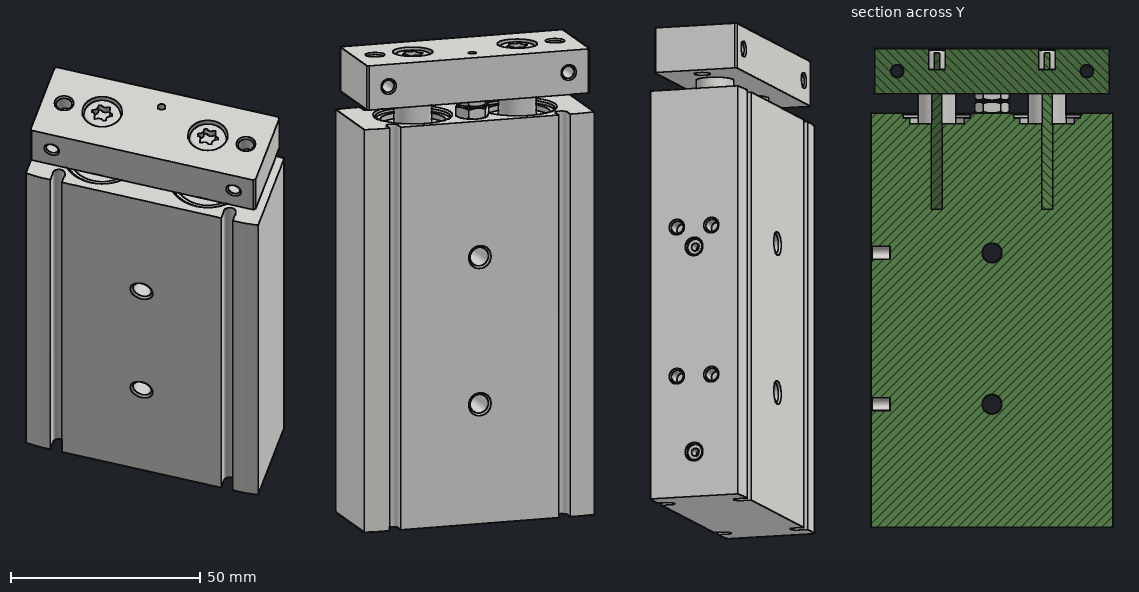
import cadquery as cq
import math

TOTAL_HEIGHT = 126.5
PLATE_THICKNESS = 12.0
PLATE_GAP = 5.0
HOUSING_HEIGHT = TOTAL_HEIGHT - PLATE_THICKNESS - PLATE_GAP
PLATE_BOTTOM = HOUSING_HEIGHT + PLATE_GAP

HOUSING_WIDTH = 64.0
HOUSING_DEPTH = 25.0
EDGE_BAND_WIDTH = 3.8
EDGE_BAND_DROP = 0.4

SLOT_X = 23.5
SLOT_OPENING = 3.2
SLOT_BORE = 3.3
SLOT_BORE_INSET = 2.5

MOUNT_LEVELS = (32.5, 72.5)
MOUNT_BORE = 5.0
MOUNT_MOUTH = 6.2

SIDE_HOLE_BORE = 3.3
SIDE_HOLE_MOUTH = 4.2
SIDE_HOLE_Y = 4.8
SIDE_HOLE_DEPTH = 5.0

PORT_LEVELS = (12.0, 67.0)
PORT_MOUTH = 4.9
PORT_BORE = 4.2
PORT_DEPTH = 1.0
PORT_PASSAGE = 2.0
PORT_PASSAGE_DEPTH = 5.0

ROD_X = 14.5
ROD_DIAMETER = 10.0
ROD_DEPTH = 25.3
GLAND_MOUTH = 21.0
GLAND_BORE = 20.0
GLAND_DEPTH = 1.3
GLAND_WELL = 17.2
GLAND_WELL_DEPTH = 2.8

PLATE_WIDTH = 62.0
PLATE_DEPTH = 23.0
PLATE_CORNER = 0.5
PLATE_HOLE_X = 25.0
CROSS_HOLE_BORE = 3.3
CROSS_HOLE_MOUTH = 4.2
TOP_HOLE_BORE = 4.2
TOP_HOLE_MOUTH = 5.0

HEAD_POCKET = 10.5
HEAD_DIAMETER = 9.7
HEAD_ROUNDING = 0.9
HEAD_HEIGHT = 5.0
HEAD_RECESS = 0.5
NECK_DIAMETER = 5.5
LOBE_TIP_RADIUS = 2.8
LOBE_VALLEY_RADIUS = 2.0
LOBE_COUNT = 6
LOBE_TIP_SHARE = 0.4
SOCKET_DEPTH = 2.0

STOP_Y = 6.1
STOP_THREAD = 5.0
STOP_THREAD_LENGTH = 7.6
HEX_SIDES = 6
HEX_FLATS = 8.0
HEX_CORNERS = HEX_FLATS / math.cos(math.pi / HEX_SIDES)
HEX_BEVEL_ANGLE = math.radians(30)
NUT_THICKNESS = 1.6
NUT_CLEARANCE = 0.5
STOP_HOLE_BORE = 2.0
STOP_HOLE_DEPTH = 2.5


def cylinder(diameter, length, base, direction=(0, 0, 1)):
    solid = cq.Solid.makeCylinder(diameter / 2, length, cq.Vector(*base), cq.Vector(*direction))
    return cq.Workplane(obj=solid)


def bevelled_hole(bore, mouth, depth, entry, direction):
    """Cutter for a round hole with a 45 degree bevel at its entry."""
    bevel = cq.Solid.makeCone(
        mouth / 2, bore / 2, (mouth - bore) / 2, cq.Vector(*entry), cq.Vector(*direction)
    )
    return cylinder(bore, depth, entry, direction).union(cq.Workplane(obj=bevel))


def housing_block():
    side, face = HOUSING_WIDTH / 2, HOUSING_DEPTH / 2
    band_x, band_y = side - EDGE_BAND_WIDTH, face - EDGE_BAND_DROP
    outline = [
        (-side, -band_y), (-band_x, -face), (band_x, -face), (side, -band_y),
        (side, band_y), (band_x, face), (-band_x, face), (-side, band_y),
    ]
    return cq.Workplane().polyline(outline).close().extrude(HOUSING_HEIGHT)


def sensor_slot(x, side):
    axis_y = side * (HOUSING_DEPTH / 2 - SLOT_BORE_INSET)
    mouth = (
        cq.Workplane()
        .center(x, axis_y + side * SLOT_BORE_INSET / 2)
        .rect(SLOT_OPENING, SLOT_BORE_INSET)
        .extrude(HOUSING_HEIGHT)
    )
    return cylinder(SLOT_BORE, HOUSING_HEIGHT, (x, axis_y, 0)).union(mouth)


def rod_opening(x):
    gland = bevelled_hole(GLAND_BORE, GLAND_MOUTH, GLAND_DEPTH, (x, 0, HOUSING_HEIGHT), (0, 0, -1))
    gland = gland.union(cylinder(GLAND_WELL, GLAND_WELL_DEPTH, (x, 0, HOUSING_HEIGHT), (0, 0, -1)))
    return gland.union(cylinder(ROD_DIAMETER, ROD_DEPTH, (x, 0, HOUSING_HEIGHT), (0, 0, -1)))


def make_housing():
    housing = housing_block()
    for x in (-SLOT_X, SLOT_X):
        for side in (-1, 1):
            housing = housing.cut(sensor_slot(x, side))
    for x in (-ROD_X, ROD_X):
        housing = housing.cut(rod_opening(x))
    for z in MOUNT_LEVELS:
        for side in (-1, 1):
            entry = (0, side * HOUSING_DEPTH / 2, z)
            housing = housing.cut(
                bevelled_hole(MOUNT_BORE, MOUNT_MOUTH, HOUSING_DEPTH / 2, entry, (0, -side, 0))
            )
        for y in (-SIDE_HOLE_Y, SIDE_HOLE_Y):
            entry = (-HOUSING_WIDTH / 2, y, z)
            housing = housing.cut(
                bevelled_hole(SIDE_HOLE_BORE, SIDE_HOLE_MOUTH, SIDE_HOLE_DEPTH, entry, (1, 0, 0))
            )
    for z in PORT_LEVELS:
        entry = (-HOUSING_WIDTH / 2, 0, z)
        housing = housing.cut(bevelled_hole(PORT_BORE, PORT_MOUTH, PORT_DEPTH, entry, (1, 0, 0)))
        housing = housing.cut(cylinder(PORT_PASSAGE, PORT_PASSAGE_DEPTH, entry, (1, 0, 0)))
    return housing


def make_end_plate():
    plate = (
        cq.Workplane(origin=(0, 0, PLATE_BOTTOM))
        .rect(PLATE_WIDTH, PLATE_DEPTH)
        .extrude(PLATE_THICKNESS)
        .edges("|Z")
        .chamfer(PLATE_CORNER)
    )
    middle = PLATE_BOTTOM + PLATE_THICKNESS / 2
    for x in (-PLATE_HOLE_X, PLATE_HOLE_X):
        for side in (-1, 1):
            entry = (x, side * PLATE_DEPTH / 2, middle)
            plate = plate.cut(
                bevelled_hole(CROSS_HOLE_BORE, CROSS_HOLE_MOUTH, PLATE_DEPTH / 2, entry, (0, -side, 0))
            )
        entry = (x, 0, TOTAL_HEIGHT)
        plate = plate.cut(bevelled_hole(TOP_HOLE_BORE, TOP_HOLE_MOUTH, PLATE_THICKNESS, entry, (0, 0, -1)))
    for x in (-ROD_X, ROD_X):
        plate = plate.cut(cylinder(NECK_DIAMETER, PLATE_THICKNESS, (x, 0, PLATE_BOTTOM)))
        plate = plate.cut(
            cylinder(HEAD_POCKET, HEAD_HEIGHT + HEAD_RECESS, (x, 0, TOTAL_HEIGHT), (0, 0, -1))
        )
    plate = plate.cut(cylinder(STOP_THREAD, STOP_THREAD_LENGTH, (0, STOP_Y, PLATE_BOTTOM)))
    return plate.cut(cylinder(STOP_HOLE_BORE, STOP_HOLE_DEPTH, (0, STOP_Y, TOTAL_HEIGHT), (0, 0, -1)))


def polar(radius, angle):
    return (radius * math.cos(angle), radius * math.sin(angle))


def lobe_socket(x, top):
    """Cutter for the six-lobe drive: rounded tips joined by concave valleys."""
    step = 2 * math.pi / LOBE_COUNT
    shoulder_radius = (LOBE_TIP_RADIUS + LOBE_VALLEY_RADIUS) / 2
    shoulder = step * LOBE_TIP_SHARE / 2
    outline = cq.Workplane(origin=(x, 0, top)).moveTo(*polar(shoulder_radius, -shoulder))
    for lobe in range(LOBE_COUNT):
        tip = lobe * step
        outline = outline.threePointArc(
            polar(LOBE_TIP_RADIUS, tip), polar(shoulder_radius, tip + shoulder)
        ).threePointArc(
            polar(LOBE_VALLEY_RADIUS, tip + step / 2), polar(shoulder_radius, tip + step - shoulder)
        )
    return outline.close().extrude(-SOCKET_DEPTH)


def make_rod(x):
    head_top = TOTAL_HEIGHT - HEAD_RECESS
    head_bottom = head_top - HEAD_HEIGHT
    rod = cylinder(ROD_DIAMETER, ROD_DEPTH + PLATE_GAP, (x, 0, HOUSING_HEIGHT - ROD_DEPTH))
    neck = cylinder(NECK_DIAMETER, head_bottom - PLATE_BOTTOM, (x, 0, PLATE_BOTTOM))
    head = cylinder(HEAD_DIAMETER, HEAD_HEIGHT, (x, 0, head_bottom)).faces(">Z").edges().fillet(HEAD_ROUNDING)
    return rod.union(neck).union(head).cut(lobe_socket(x, head_top))


def bevelled_hexagon(bottom, height, bevelled_ends):
    """Hexagonal prism on the stop axis, its corners turned off at the selected end faces."""
    bevel_run = (HEX_CORNERS - HEX_FLATS) / 2
    bevel_rise = bevel_run * math.tan(HEX_BEVEL_ANGLE)
    turned_blank = (
        cylinder(HEX_CORNERS, height, (0, STOP_Y, bottom)).faces(bevelled_ends).chamfer(bevel_rise, bevel_run)
    )
    prism = cq.Workplane(origin=(0, STOP_Y, bottom)).polygon(HEX_SIDES, HEX_CORNERS).extrude(height)
    return prism.intersect(turned_blank)


def make_lock_nut():
    bottom = PLATE_BOTTOM - NUT_THICKNESS
    nut = bevelled_hexagon(bottom, NUT_THICKNESS, "<Z")
    return nut.cut(cylinder(STOP_THREAD, NUT_THICKNESS, (0, STOP_Y, bottom)))


def make_stop_bolt():
    head_height = PLATE_GAP - NUT_THICKNESS - NUT_CLEARANCE
    head = bevelled_hexagon(HOUSING_HEIGHT, head_height, "<Z or >Z")
    thread_length = NUT_CLEARANCE + NUT_THICKNESS + STOP_THREAD_LENGTH
    thread = cylinder(STOP_THREAD, thread_length, (0, STOP_Y, HOUSING_HEIGHT + head_height))
    return head.union(thread)


housing = make_housing()
end_plate = make_end_plate()
rods = [make_rod(x) for x in (-ROD_X, ROD_X)]
lock_nut = make_lock_nut()
stop_bolt = make_stop_bolt()

result = cq.Compound.makeCompound(
    [housing.val(), end_plate.val(), *[rod.val() for rod in rods], lock_nut.val(), stop_bolt.val()]
)